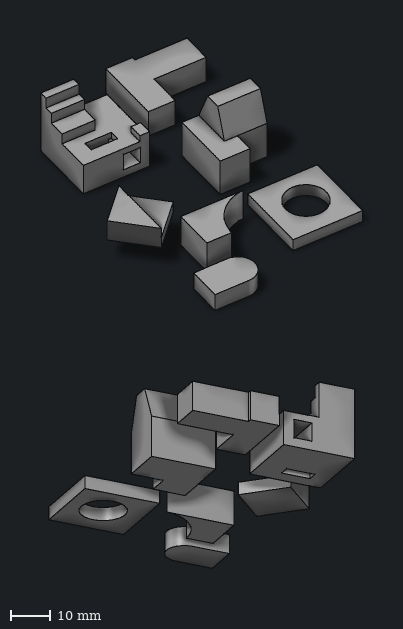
import cadquery as cq


ELL_LEFT, ELL_FRONT = 0, 34.2
ELL_HEIGHT = 8.2
ELL_FOOT_WIDTH, ELL_FOOT_DEPTH = 20.0, 8.1
ELL_STEM_WIDTH, ELL_STEM_LENGTH = 9.0, 15.7
ELL_STEM_INSET = 1.1

STAIR_LEFT, STAIR_FRONT = 10.0, 8.2
STAIR_SIDE = 20.0
STAIR_BASE_HEIGHT = 9.6
STEP_RISE = 3.3
STEP_REACHES = [10.0, 5.0, 2.5]
STEP_DEPTH = STAIR_SIDE / 2
SLOT_WIDTH, SLOT_LENGTH = 2.9, 7.9
SLOT_FROM_LEFT, SLOT_FROM_FRONT = 13.0, 5.0
TAB_WIDTH, TAB_DEPTH, TAB_HEIGHT = 4.2, 2.9, 2.0
WINDOW_SIDE = 5.1
WINDOW_FROM_BACK, WINDOW_FLOOR = 2.85, 2.5

RIDGE_LEFT, RIDGE_FRONT = 30.9, 37.2
RIDGE_BASE_SIDE = 18.0
RIDGE_BASE_HEIGHT = 11.2
RIDGE_BASE_ARM_DEPTH = RIDGE_BASE_SIDE / 2
RIDGE_TOTAL_HEIGHT = 20.6
RIDGE_FOOT_WIDTH = 12.1
RIDGE_TOP_START, RIDGE_TOP_END = 4.1, 9.0
RIDGE_LENGTH = 12.9

PLATE_LEFT, PLATE_FRONT = 56, 40.9
PLATE_WIDTH, PLATE_DEPTH, PLATE_HEIGHT = 21.3, 21.0, 3.7
HOLE_DIAMETER = 12.2
HOLE_FROM_LEFT, HOLE_FROM_FRONT = 10.2, 11.0

COVE_LEFT, COVE_FRONT = 60.0, 18.2
COVE_HEIGHT = 9.6
COVE_RADIUS = 12.3
COVE_SHORT_DEPTH, COVE_LONG_DEPTH = 7.5, 18.9

ARCH_RIGHT, ARCH_FRONT = 86.2, 11.7
ARCH_WIDTH, ARCH_STRAIGHT, ARCH_HEIGHT = 10.1, 10.25, 5.35

DIAMOND_LEFT, DIAMOND_FRONT = 43.8, 0
DIAMOND_DIAGONAL = 20.0
DIAMOND_BOTTOM = 5.6
DIAMOND_FRONT_HEIGHT, DIAMOND_BACK_HEIGHT = 6.5, 3.5


def box(x, y, z, width, depth, height):
    """Box with its min corner at (x, y, z)."""
    return cq.Workplane("XY").box(width, depth, height, centered=False).translate((x, y, z))


def make_ell():
    foot = box(0, 0, 0, ELL_FOOT_WIDTH, ELL_FOOT_DEPTH, ELL_HEIGHT)
    stem = box(ELL_STEM_INSET, ELL_FOOT_DEPTH, 0, ELL_STEM_WIDTH, ELL_STEM_LENGTH, ELL_HEIGHT)
    return foot.union(stem).translate((ELL_LEFT, ELL_FRONT, 0))


def make_stair():
    body = box(0, 0, 0, STAIR_SIDE, STAIR_SIDE, STAIR_BASE_HEIGHT)
    for level, reach in enumerate(STEP_REACHES):
        step_floor = STAIR_BASE_HEIGHT + level * STEP_RISE
        body = body.union(box(0, 0, step_floor, reach, STEP_DEPTH, STEP_RISE))

    tab_x = STAIR_SIDE - TAB_WIDTH
    tab_y = STAIR_SIDE - TAB_DEPTH
    body = body.union(box(tab_x, tab_y, STAIR_BASE_HEIGHT, TAB_WIDTH, TAB_DEPTH, TAB_HEIGHT))

    slot = box(SLOT_FROM_LEFT, SLOT_FROM_FRONT, 0, SLOT_WIDTH, SLOT_LENGTH, STAIR_BASE_HEIGHT)
    window_y = STAIR_SIDE - WINDOW_FROM_BACK - WINDOW_SIDE
    window = box(0, window_y, WINDOW_FLOOR, STAIR_SIDE, WINDOW_SIDE, WINDOW_SIDE)
    return body.cut(slot).cut(window).translate((STAIR_LEFT, STAIR_FRONT, 0))


def make_ridge():
    strip = box(0, 0, 0, RIDGE_FOOT_WIDTH, RIDGE_BASE_SIDE, RIDGE_BASE_HEIGHT)
    arm = box(0, 0, 0, RIDGE_BASE_SIDE, RIDGE_BASE_ARM_DEPTH, RIDGE_BASE_HEIGHT)
    base = strip.union(arm)

    ridge = (
        cq.Workplane("XZ", origin=(0, RIDGE_BASE_SIDE, 0))
        .moveTo(0, RIDGE_BASE_HEIGHT)
        .lineTo(RIDGE_FOOT_WIDTH, RIDGE_BASE_HEIGHT)
        .lineTo(RIDGE_TOP_END, RIDGE_TOTAL_HEIGHT)
        .lineTo(RIDGE_TOP_START, RIDGE_TOTAL_HEIGHT)
        .close()
        .extrude(RIDGE_LENGTH)
    )
    return base.union(ridge).translate((RIDGE_LEFT, RIDGE_FRONT, 0))


def make_plate():
    plate = box(0, 0, 0, PLATE_WIDTH, PLATE_DEPTH, PLATE_HEIGHT)
    hole = (
        cq.Workplane("XY")
        .center(HOLE_FROM_LEFT, HOLE_FROM_FRONT)
        .circle(HOLE_DIAMETER / 2)
        .extrude(PLATE_HEIGHT)
    )
    return plate.cut(hole).translate((PLATE_LEFT, PLATE_FRONT, 0))


def make_cove():
    block = box(0, 0, 0, COVE_RADIUS, COVE_LONG_DEPTH, COVE_HEIGHT)
    cove_center_y = COVE_SHORT_DEPTH + COVE_RADIUS
    cove = cq.Workplane("XY").center(COVE_RADIUS, cove_center_y).circle(COVE_RADIUS).extrude(COVE_HEIGHT)
    return block.cut(cove).translate((COVE_LEFT, COVE_FRONT, 0))


def make_arch():
    radius = ARCH_WIDTH / 2
    return (
        cq.Workplane("XY")
        .lineTo(ARCH_WIDTH, 0)
        .lineTo(ARCH_WIDTH, ARCH_STRAIGHT)
        .threePointArc((radius, ARCH_STRAIGHT + radius), (0, ARCH_STRAIGHT))
        .close()
        .extrude(ARCH_HEIGHT)
        .translate((ARCH_RIGHT - ARCH_WIDTH, ARCH_FRONT, 0))
    )


def diamond_half(tip_y, height):
    """Triangular prism on the diamond's left-right diagonal, pointing to tip_y."""
    middle = DIAMOND_DIAGONAL / 2
    return (
        cq.Workplane("XY")
        .moveTo(0, middle)
        .lineTo(DIAMOND_DIAGONAL, middle)
        .lineTo(middle, tip_y)
        .close()
        .extrude(height)
    )


def make_diamond():
    front_half = diamond_half(0, DIAMOND_FRONT_HEIGHT)
    back_half = diamond_half(DIAMOND_DIAGONAL, DIAMOND_BACK_HEIGHT)
    return front_half.union(back_half).translate((DIAMOND_LEFT, DIAMOND_FRONT, DIAMOND_BOTTOM))


ell = make_ell()
stair = make_stair()
ridge_block = make_ridge()
plate = make_plate()
cove_block = make_cove()
arch = make_arch()
diamond = make_diamond()

result = cq.Compound.makeCompound([
    ell.val(),
    stair.val(),
    ridge_block.val(),
    plate.val(),
    cove_block.val(),
    arch.val(),
    diamond.val(),
])